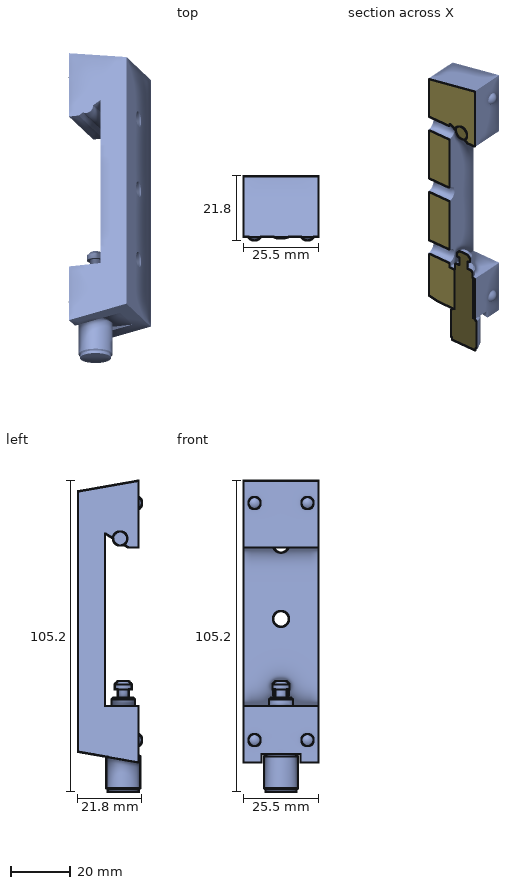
import cadquery as cq
import math

width = 25.5
depth = 20.5
height = 95.2
web_thickness = 9.3
end_slope = 10.0
ledge_height = 19.1
lip_height = 22.6
lip_depth = 3.5
undercut_slope = 31.0

hole_diameter = 5.3
hole_pitch = 25.0
middle_hole_z = 48.5

button_spacing = 17.9
button_edge_distance = 7.6
button_height = 1.3
button_sphere_radius = 2.3

dowel_diameter = 4.8
dowel_y = 6.2
dowel_z = height - 19.6

plunger_y = 5.2
slot_width = 13.0
slot_top = 2.8
knob_radius = 5.8
knob_chamfer = 0.8
knob_bottom = -8.6
knob_foot_radius = 5.3
knob_foot_bottom = -10.0
foot_chamfer_height = 0.4
stem_radius = 4.0
stem_top = 21.9
stem_chamfer = 0.6
neck_radius = 1.9
head_bottom = 24.7
head_radius = 2.9
head_top = 27.5
head_chamfer = 1.2


def x_cylinder(diameter, y, z):
    """Cylinder along X across the full bracket width."""
    return cq.Workplane("YZ", origin=(-width / 2, y, z)).circle(diameter / 2).extrude(width)


def button(x, z):
    """Ball sunk into the front face so that only a dome stands out."""
    centre_y = button_sphere_radius - button_height
    return cq.Workplane("XY").sphere(button_sphere_radius).translate((x, centre_y, z))


def make_bracket():
    end_rise = depth * math.tan(math.radians(end_slope))
    web_face_y = depth - web_thickness
    lip_z = height - lip_height
    undercut_z = lip_z + (web_face_y - lip_depth) * math.tan(math.radians(undercut_slope))
    profile = [
        (0, 0),
        (depth, end_rise),
        (depth, height - end_rise),
        (0, height),
        (0, lip_z),
        (lip_depth, lip_z),
        (web_face_y, undercut_z),
        (web_face_y, ledge_height),
        (0, ledge_height),
    ]
    body = cq.Workplane("YZ", origin=(-width / 2, 0, 0)).polyline(profile).close().extrude(width)

    for x in (-button_spacing / 2, button_spacing / 2):
        for z in (button_edge_distance, height - button_edge_distance):
            body = body.union(button(x, z))

    for step in (-1, 0, 1):
        hole_z = middle_hole_z + step * hole_pitch
        hole_plane = cq.Workplane("XZ", origin=(0, depth, hole_z))
        body = body.cut(hole_plane.circle(hole_diameter / 2).extrude(web_thickness))

    slot = cq.Workplane("XY").box(slot_width, depth, slot_top, centered=(True, False, False))
    return body.cut(slot)


def make_dowel():
    return x_cylinder(dowel_diameter, dowel_y, dowel_z)


def make_plunger():
    half_profile = [
        (0, knob_foot_bottom),
        (knob_foot_radius, knob_foot_bottom),
        (knob_foot_radius, knob_bottom - foot_chamfer_height),
        (knob_radius, knob_bottom),
        (knob_radius, slot_top - knob_chamfer),
        (knob_radius - knob_chamfer, slot_top),
        (stem_radius, slot_top),
        (stem_radius, stem_top - stem_chamfer),
        (stem_radius - stem_chamfer, stem_top),
        (neck_radius, stem_top),
        (neck_radius, head_bottom),
        (head_radius, head_bottom),
        (head_radius, head_top - head_chamfer),
        (head_radius - head_chamfer, head_top),
        (0, head_top),
    ]
    plane = cq.Workplane("XZ", origin=(0, plunger_y, 0))
    return plane.polyline(half_profile).close().revolve(360, (0, 0), (0, 1))


dowel = make_dowel()
plunger = make_plunger()
bracket = make_bracket().cut(dowel).cut(plunger)

result = cq.Compound.makeCompound([bracket.val(), dowel.val(), plunger.val()])